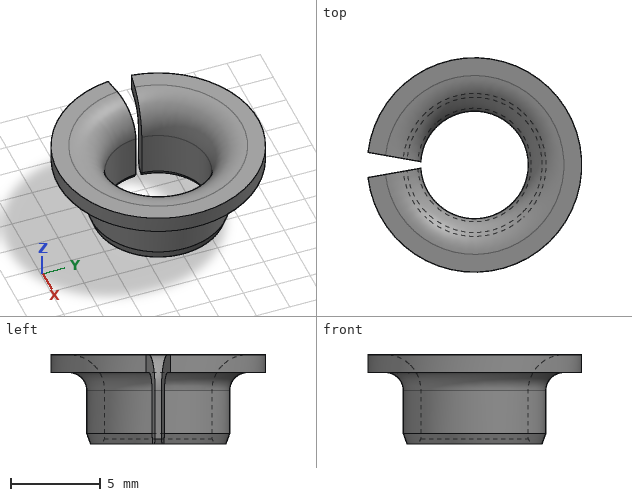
import cadquery as cq
import math

height = 5.0
flange_radius = 6.0
flange_thickness = 1.0
bore_radius = 3.0
wall = 1.0

flare_radius = 2.0
flare_center_r = bore_radius + flare_radius
flare_center_z = height - flare_radius
neck_radius = flare_radius - wall
barrel_radius = bore_radius + wall
flange_bottom = height - flange_thickness

taper_height = 0.6
taper_angle = 20.0
tip_radius = barrel_radius - taper_height * math.tan(math.radians(taper_angle))

relief_height = 0.3
relief_angle = 30.0
relief_radius = bore_radius + relief_height * math.tan(math.radians(relief_angle))

split_half_angle = 10.0
split_apex_x = -2.0
split_reach = 2 * flange_radius


def arc_midpoint(radius):
    """Middle of a flare arc on the -X half of the section."""
    offset = radius * math.sqrt(0.5)
    return offset - flare_center_r, flare_center_z + offset


def bushing_body():
    """Full ring, revolved about Z from a radial section at -X, where the split is."""
    section = (
        cq.Workplane("XZ")
        .moveTo(-relief_radius, 0)
        .lineTo(-tip_radius, 0)
        .lineTo(-barrel_radius, taper_height)
        .lineTo(-barrel_radius, flare_center_z)
        .threePointArc(arc_midpoint(neck_radius), (-flare_center_r, flange_bottom))
        .lineTo(-flange_radius, flange_bottom)
        .lineTo(-flange_radius, height)
        .lineTo(-flare_center_r, height)
        .threePointArc(arc_midpoint(flare_radius), (-bore_radius, flare_center_z))
        .lineTo(-bore_radius, relief_height)
        .close()
    )
    return section.revolve(360, (0, 0, 0), (0, 1, 0))


def split_wedge():
    """Full-height wedge with its point inside the bore."""
    half_width = split_reach * math.tan(math.radians(split_half_angle))
    outer_x = split_apex_x - split_reach
    return (
        cq.Workplane("XY")
        .polyline([(split_apex_x, 0), (outer_x, half_width), (outer_x, -half_width)])
        .close()
        .extrude(height)
    )


result = bushing_body().cut(split_wedge())